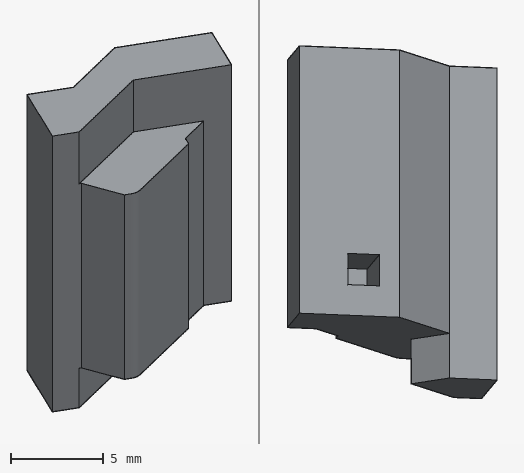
import cadquery as cq

total_width = 9.88
total_depth = 11.5
total_height = 17.3

rear_leg_thickness = 3.6
front_leg_left = 3.37
front_leg_right = 8.03
outer_bend_y = 6.0
inner_bend_y = 5.95
plate_bottom = 2.47

pad_top = 14.05
pad_rear_y = 9.93
step_y = 8.45
step_width = 0.59
pad_corner_y = 3.51
pad_corner_radius = 0.86

hole_size = 1.73
hole_center_y = 7.98
hole_center_z = 5.03
hole_depth = rear_leg_thickness

front_leg_bend_y = outer_bend_y - front_leg_left
web_inner_sum = rear_leg_thickness + inner_bend_y
front_leg_inner_y = web_inner_sum - front_leg_right
step_left = rear_leg_thickness + pad_rear_y - step_y
step_right = step_left + step_width
pad_sharp_y = step_right + step_y - total_width


def prism(points, bottom, top):
    """Extrude a closed XY outline between two heights."""
    return cq.Workplane("XY").workplane(offset=bottom).polyline(points).close().extrude(top - bottom)


def cranked_plate():
    outline = [
        (0, total_depth),
        (0, outer_bend_y),
        (front_leg_left, front_leg_bend_y),
        (front_leg_left, 0),
        (front_leg_right, 0),
        (front_leg_right, front_leg_inner_y),
        (rear_leg_thickness, inner_bend_y),
        (rear_leg_thickness, total_depth),
    ]
    return prism(outline, plate_bottom, total_height)


def front_leg_foot():
    """Lower end of the front leg, closed by the web's inner face and a square 45 degree end."""
    bend_difference = front_leg_bend_y - front_leg_left
    peak_x = (web_inner_sum - bend_difference) / 2
    outline = [
        (front_leg_left, 0),
        (front_leg_right, 0),
        (front_leg_right, front_leg_inner_y),
        (peak_x, web_inner_sum - peak_x),
        (front_leg_left, front_leg_bend_y),
    ]
    return prism(outline, 0, plate_bottom)


def pad():
    outline = [
        (rear_leg_thickness, inner_bend_y),
        (front_leg_right, front_leg_inner_y),
        (front_leg_right, pad_corner_y - (total_width - front_leg_right)),
        (total_width, pad_corner_y),
        (total_width, pad_sharp_y),
        (step_right, step_y),
        (step_left, step_y),
        (rear_leg_thickness, pad_rear_y),
    ]
    rounded_edge = cq.selectors.NearestToPointSelector(
        (total_width, pad_sharp_y, (plate_bottom + pad_top) / 2)
    )
    return prism(outline, plate_bottom, pad_top).edges(rounded_edge).fillet(pad_corner_radius)


def square_hole():
    return (
        cq.Workplane("XY")
        .box(hole_depth, hole_size, hole_size, centered=(False, True, True))
        .translate((0, hole_center_y, hole_center_z))
    )


result = cranked_plate().union(front_leg_foot()).union(pad()).cut(square_hole())